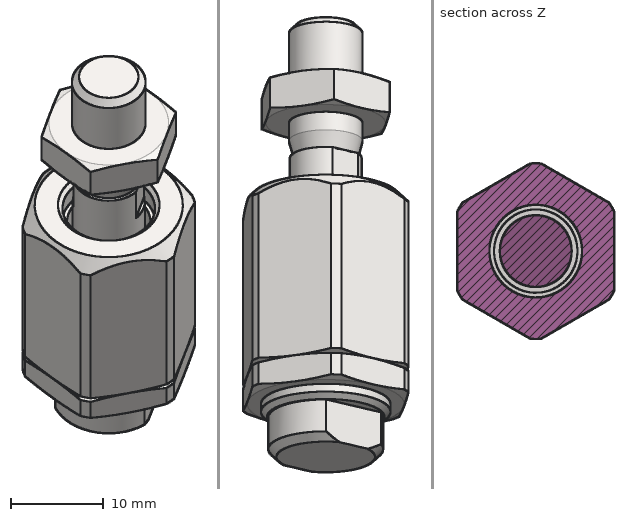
import cadquery as cq
import math

PLUG_SHOULDER = 4.5
LOCK_NUT_BOTTOM = 6.05
HOUSING_BOTTOM = 9.0
HOUSING_TOP = 29.5
STUD_FLATS_BOTTOM = 30.05
STUD_COLLAR_TOP = 34.0
STUD_THREAD_BOTTOM = 35.9
NUT_BOTTOM = 37.98
JOINT_TOP = 49.0

BODY_FLATS = 17.0
BODY_CORNERS = 19.0
BODY_FACE_DIA = 16.95
HOUSING_TOP_DIA = 16.0
MOUTH_DIA = 10.0
MOUTH_CHAMFER = 0.5
LIP_THICKNESS = 2.5

PLUG_DIA = 14.0
PLUG_TIP_DIA = 12.45
PLUG_FLATS = 10.0
PLUG_TIP_CHAMFER = 0.9
PLUG_BARREL_CHAMFER = 0.65
PLUG_INSERTION = 3.0

RING_BORE = 9.0

STUD_DIA = 8.0
STUD_TIP_CHAMFER = 0.8
STUD_NECK_DIA = 7.0
STUD_COLLAR_DIA = 7.8
NUT_FLATS = 13.05
NUT_THICKNESS = 4.0
NUT_FACE_DIA = 12.95

CORNER_ANGLE = 15
HOUSING_TOP_ANGLE = 45

PLUG_TOP = HOUSING_BOTTOM + PLUG_INSERTION
LIP_BOTTOM = HOUSING_TOP - LIP_THICKNESS


def cylinder(diameter, bottom, top):
    return cq.Workplane("XY").workplane(offset=bottom).circle(diameter / 2).extrude(top - bottom)


def revolve_profile(points):
    """Turn a closed (radius, height) outline around the Z axis."""
    return cq.Workplane("XZ").polyline(points).close().revolve(360, (0, 0, 0), (0, 1, 0))


def turned_hexagon(flats, corners, bottom, top, bottom_dia, top_dia, top_angle):
    """Hexagonal prism, two corners on the Y axis, with its corners turned down at both ends."""
    corner_circle = flats / math.cos(math.pi / 6)
    prism = (
        cq.Workplane("XY").workplane(offset=bottom)
        .polygon(6, corner_circle).extrude(top - bottom)
        .rotate((0, 0, 0), (0, 0, 1), 30)
    )
    bottom_drop = (corners - bottom_dia) / 2 * math.tan(math.radians(CORNER_ANGLE))
    top_drop = (corners - top_dia) / 2 * math.tan(math.radians(top_angle))
    envelope = revolve_profile([
        (0, bottom),
        (bottom_dia / 2, bottom),
        (corners / 2, bottom + bottom_drop),
        (corners / 2, top - top_drop),
        (top_dia / 2, top),
        (0, top),
    ])
    return prism.intersect(envelope)


def across_flats_slab(flats, bottom, top):
    """Slab that leaves a round shape with two flats facing -X and +X."""
    length = 2 * BODY_CORNERS
    return cq.Workplane("XY").workplane(offset=bottom).rect(flats, length).extrude(top - bottom)


def make_housing():
    body = turned_hexagon(
        BODY_FLATS, BODY_CORNERS, HOUSING_BOTTOM, HOUSING_TOP,
        BODY_FACE_DIA, HOUSING_TOP_DIA, HOUSING_TOP_ANGLE,
    )
    mouth = cylinder(MOUTH_DIA, HOUSING_BOTTOM, HOUSING_TOP)
    mouth_cone = revolve_profile([
        (0, HOUSING_TOP - MOUTH_CHAMFER),
        (MOUTH_DIA / 2, HOUSING_TOP - MOUTH_CHAMFER),
        (MOUTH_DIA / 2 + MOUTH_CHAMFER, HOUSING_TOP),
        (0, HOUSING_TOP),
    ])
    cavity = cylinder(PLUG_DIA, HOUSING_BOTTOM, LIP_BOTTOM)
    return body.cut(mouth).cut(mouth_cone).cut(cavity)


def make_lock_nut():
    body = turned_hexagon(
        BODY_FLATS, BODY_CORNERS, LOCK_NUT_BOTTOM, HOUSING_BOTTOM,
        BODY_FACE_DIA, BODY_FACE_DIA, CORNER_ANGLE,
    )
    return body.cut(cylinder(PLUG_DIA, LOCK_NUT_BOTTOM, HOUSING_BOTTOM))


def make_plug():
    tip = cylinder(PLUG_TIP_DIA, 0, PLUG_SHOULDER).faces("<Z").chamfer(PLUG_TIP_CHAMFER)
    tip = tip.intersect(across_flats_slab(PLUG_FLATS, 0, PLUG_SHOULDER))
    barrel = cylinder(PLUG_DIA, PLUG_SHOULDER, PLUG_TOP).faces("<Z").chamfer(PLUG_BARREL_CHAMFER)
    return tip.union(barrel)


def make_ring():
    """Bearing ring held between the plug and the lip of the housing."""
    return cylinder(PLUG_DIA, PLUG_TOP, LIP_BOTTOM).cut(cylinder(RING_BORE, PLUG_TOP, LIP_BOTTOM))


def make_stud():
    """Stud that stands on the plug and passes through the ring with clearance."""
    tip_radius = STUD_DIA / 2 - STUD_TIP_CHAMFER
    shaft = revolve_profile([
        (0, PLUG_TOP),
        (STUD_COLLAR_DIA / 2, PLUG_TOP),
        (STUD_COLLAR_DIA / 2, STUD_COLLAR_TOP),
        (STUD_NECK_DIA / 2, STUD_COLLAR_TOP),
        (STUD_DIA / 2, STUD_THREAD_BOTTOM),
        (STUD_DIA / 2, JOINT_TOP - STUD_TIP_CHAMFER),
        (tip_radius, JOINT_TOP),
        (0, JOINT_TOP),
    ])
    collar = cylinder(STUD_COLLAR_DIA, STUD_FLATS_BOTTOM, STUD_COLLAR_TOP)
    flats = collar.cut(across_flats_slab(STUD_NECK_DIA, STUD_FLATS_BOTTOM, STUD_COLLAR_TOP))
    return shaft.cut(flats)


def make_nut():
    nut_top = NUT_BOTTOM + NUT_THICKNESS
    nut_corners = NUT_FLATS / math.cos(math.pi / 6)
    body = turned_hexagon(
        NUT_FLATS, nut_corners, NUT_BOTTOM, nut_top, NUT_FACE_DIA, NUT_FACE_DIA, CORNER_ANGLE,
    )
    return body.cut(cylinder(STUD_DIA, NUT_BOTTOM, nut_top))


housing = make_housing()
lock_nut = make_lock_nut()
plug = make_plug()
ring = make_ring()
stud = make_stud()
nut = make_nut()

result = cq.Compound.makeCompound([
    housing.val(),
    lock_nut.val(),
    plug.val(),
    ring.val(),
    stud.val(),
    nut.val(),
])